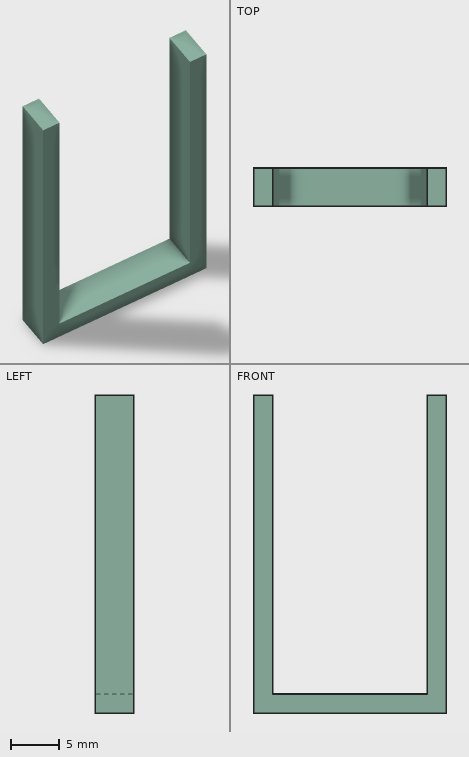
import cadquery as cq

width = 20.0
depth = 4.0
height = 33.0

thickness = 2.0

outer_block = cq.Workplane("XY").box(width, depth, height, centered=(True, True, False))

gap = (
    cq.Workplane("XY")
    .workplane(offset=thickness)
    .box(width - 2 * thickness, depth, height - thickness, centered=(True, True, False))
)

result = outer_block.cut(gap)